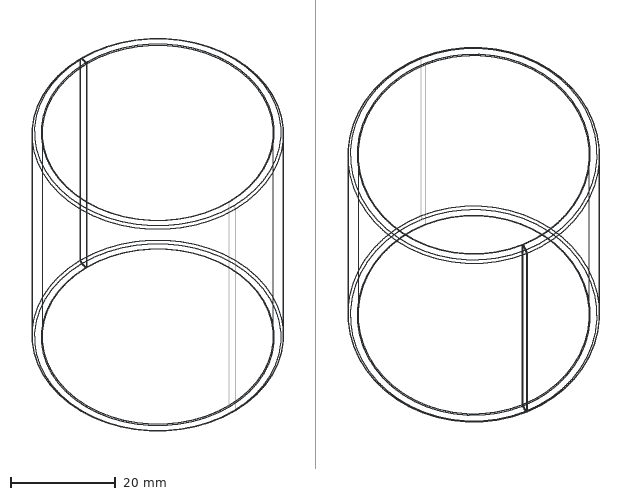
import cadquery as cq

length = 60.0
outer_diameter = 48.0
wall = 2.0
slit_width = 0.2

outer_chamfer = 0.5
inner_chamfer = 0.2

outer_radius = outer_diameter / 2
inner_radius = outer_radius - wall
half_length = length / 2


def make_sleeve():
    """Revolve the chamfered wall section around Z."""
    return (
        cq.Workplane("XZ")
        .moveTo(inner_radius + inner_chamfer, -half_length)
        .lineTo(outer_radius - outer_chamfer, -half_length)
        .lineTo(outer_radius, -half_length + outer_chamfer)
        .lineTo(outer_radius, half_length - outer_chamfer)
        .lineTo(outer_radius - outer_chamfer, half_length)
        .lineTo(inner_radius + inner_chamfer, half_length)
        .lineTo(inner_radius, half_length - inner_chamfer)
        .lineTo(inner_radius, -half_length + inner_chamfer)
        .close()
        .revolve(360, (0, 0, 0), (0, 1, 0))
    )


def make_slit():
    """Full-length cutter through the -X wall, with one face on the XZ plane."""
    return (
        cq.Workplane("XY")
        .box(outer_radius, slit_width, length)
        .translate((-outer_radius, slit_width / 2, 0))
    )


result = make_sleeve().cut(make_slit())